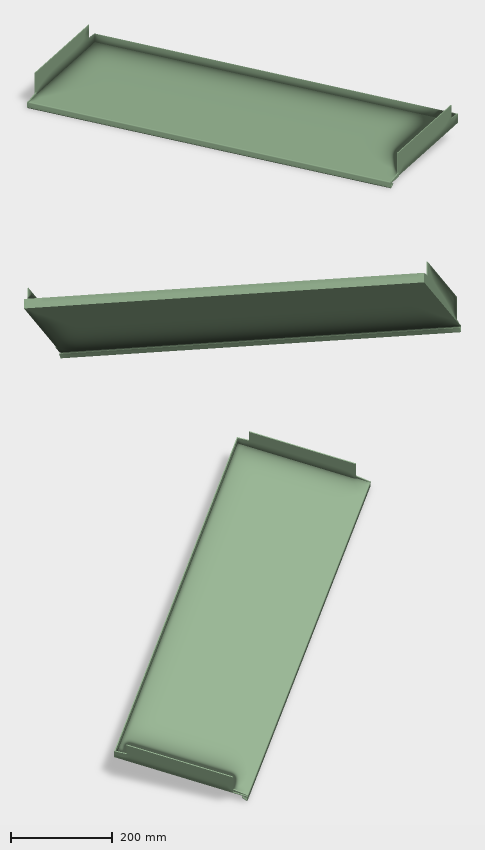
import cadquery as cq
import math

length = 817.0
depth = 274.5
height = 84.0
sheet = 2.05
body_length = length - sheet
slope = math.tan(math.radians(5.0))

floor_front_height = 12.0
back_wall_top = 55.5

side_front = 30.0
side_back = 249.0

tab_front_rise = 3.0
tab_back_rise = 8.0

lip_bottom = 2.5
hook_run = 10.0
hook_rise = 6.5
hook_front = 2.5
hook_sheet = 2.0
lip_bend_radius = 2.5


def underside(y):
    """Height of the floor underside at a given depth."""
    return floor_front_height + slope * y


def profile_plate(points, start_x, width):
    """Extrude a YZ outline along X."""
    return cq.Workplane("YZ").workplane(offset=start_x).polyline(points).close().extrude(width)


def side_wall(start_x):
    """Upright end wall, stepped down at the back corner."""
    front_top = height - slope * (side_back - side_front)
    points = [
        (side_front, underside(side_front)),
        (depth, underside(depth)),
        (depth, back_wall_top),
        (side_back, back_wall_top),
        (side_back, height),
        (side_front, front_top),
    ]
    return profile_plate(points, start_x, sheet)


def front_tab(start_x):
    """Low tapered tab between a side wall and the front lip."""
    points = [
        (0, underside(0)),
        (side_front, underside(side_front)),
        (side_front, underside(side_front) + tab_back_rise),
        (0, underside(0) + tab_front_rise),
    ]
    return profile_plate(points, start_x, sheet)


floor = profile_plate(
    [
        (lip_bend_radius, underside(lip_bend_radius)),
        (depth, underside(depth)),
        (depth, underside(depth) + sheet),
        (lip_bend_radius, underside(lip_bend_radius) + sheet),
    ],
    0,
    body_length,
)

back_wall = profile_plate(
    [
        (depth - sheet, underside(depth - sheet)),
        (depth, underside(depth)),
        (depth, back_wall_top),
        (depth - sheet, back_wall_top),
    ],
    0,
    body_length,
)

bend_top = underside(lip_bend_radius) + sheet
bend_low = bend_top - lip_bend_radius
bend_mid_offset = lip_bend_radius * (1 - math.sqrt(0.5))
front_lip = (
    cq.Workplane("YZ")
    .moveTo(lip_bend_radius, bend_top)
    .threePointArc((bend_mid_offset, bend_top - bend_mid_offset), (0, bend_low))
    .lineTo(0, lip_bottom)
    .lineTo(hook_front, 0)
    .lineTo(hook_front + hook_run, hook_rise)
    .lineTo(hook_front + hook_run - hook_sheet, hook_rise + hook_sheet)
    .lineTo(hook_front, hook_sheet * math.sqrt(2))
    .lineTo(hook_sheet, lip_bottom + hook_sheet / 2)
    .lineTo(hook_sheet, underside(0))
    .lineTo(lip_bend_radius, underside(lip_bend_radius))
    .close()
    .extrude(body_length)
)

result = floor.union(back_wall).union(front_lip)
for wall_x in (0, body_length - sheet):
    result = result.union(side_wall(wall_x))

result = result.union(front_tab(sheet))
result = result.union(front_tab(body_length))